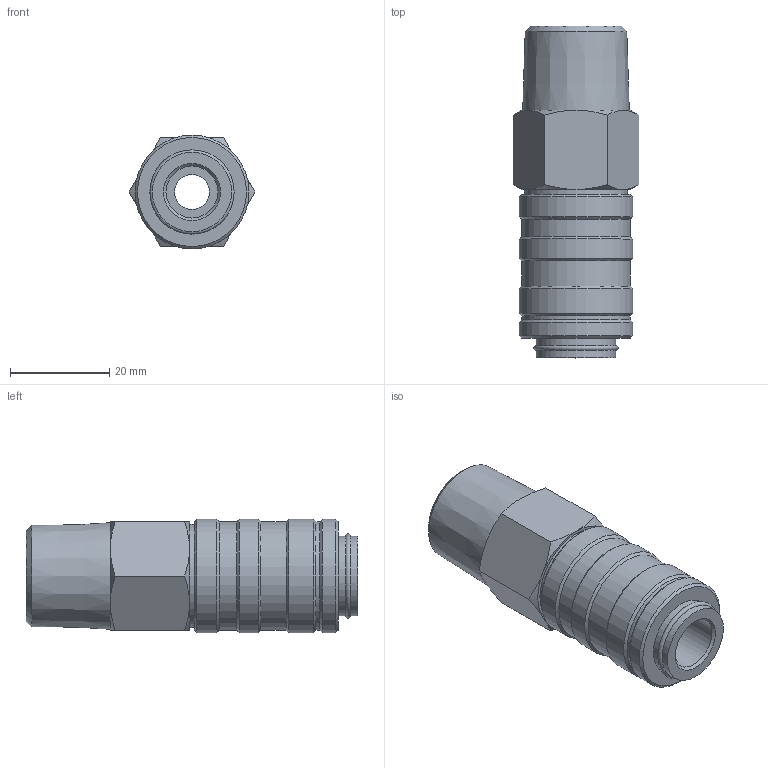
import cadquery as cq
import math

TOTAL_LENGTH = 67.0
THREAD_CHAMFER = 1.1
GAUGE_LENGTH = 8.16
HEX_START = 17.0
HEX_LENGTH = 16.0
HEX_END = HEX_START + HEX_LENGTH
SLEEVE_START = 34.0
SLEEVE_END = 63.0
BEAD_STATION = 65.0

GAUGE_RADIUS = 20.955 / 2
TAPER_PER_LENGTH = 1 / 32

ACROSS_FLATS = 22.0
HEX_CHAMFER_ANGLE = 30.0

BAND_RADIUS = 11.5
GROOVE_RADIUS = 11.0
BAND_CHAMFER = BAND_RADIUS - GROOVE_RADIUS
NECK_RADIUS = 10.4
BANDS = [
    (SLEEVE_START, 39.0),
    (42.5, 47.4),
    (52.5, 58.5),
    (59.3, SLEEVE_END),
]

NOSE_RADIUS = 8.0
BEAD_SECTION_RADIUS = 0.5

THROUGH_DIAMETER = 7.0
SOCKET_DIAMETER = 10.5
SOCKET_DEPTH = 25.0
MOUTH_CHAMFER = 0.5


def revolve_profile(points):
    """Revolve (radius, station) points about Y; the rear end lies at the greatest Y."""
    outline = [(radius, TOTAL_LENGTH - station) for radius, station in points]
    return cq.Workplane("XY").polyline(outline).close().revolve(360, (0, 0), (0, 1))


def thread_radius(station):
    return GAUGE_RADIUS + TAPER_PER_LENGTH * (station - GAUGE_LENGTH)


def make_thread():
    chamfered_radius = thread_radius(THREAD_CHAMFER)
    return revolve_profile([
        (0, 0),
        (chamfered_radius - THREAD_CHAMFER, 0),
        (chamfered_radius, THREAD_CHAMFER),
        (thread_radius(HEX_START), HEX_START),
        (0, HEX_START),
    ])


def make_hexagon():
    flat_radius = ACROSS_FLATS / 2
    corner_radius = flat_radius / math.cos(math.pi / 6)
    chamfer_length = (corner_radius - flat_radius) * math.tan(math.radians(HEX_CHAMFER_ANGLE))
    prism = (
        cq.Workplane("XZ", origin=(0, TOTAL_LENGTH - HEX_START, 0))
        .polygon(6, 2 * corner_radius)
        .extrude(HEX_LENGTH)
    )
    envelope = revolve_profile([
        (0, HEX_START),
        (flat_radius, HEX_START),
        (corner_radius, HEX_START + chamfer_length),
        (corner_radius, HEX_END - chamfer_length),
        (flat_radius, HEX_END),
        (0, HEX_END),
    ])
    return prism.intersect(envelope)


def make_sleeve():
    points = [(0, HEX_END), (NECK_RADIUS, HEX_END), (NECK_RADIUS, SLEEVE_START)]
    for start, end in BANDS:
        points += [
            (GROOVE_RADIUS, start),
            (BAND_RADIUS, start + BAND_CHAMFER),
            (BAND_RADIUS, end - BAND_CHAMFER),
            (GROOVE_RADIUS, end),
        ]
    points.append((0, SLEEVE_END))
    return revolve_profile(points)


def make_nose():
    nose = revolve_profile([
        (0, SLEEVE_END),
        (NOSE_RADIUS, SLEEVE_END),
        (NOSE_RADIUS, TOTAL_LENGTH),
        (0, TOTAL_LENGTH),
    ])
    bead_y = TOTAL_LENGTH - BEAD_STATION
    bead = (
        cq.Workplane("XY")
        .moveTo(NOSE_RADIUS, bead_y - BEAD_SECTION_RADIUS)
        .threePointArc(
            (NOSE_RADIUS + BEAD_SECTION_RADIUS, bead_y),
            (NOSE_RADIUS, bead_y + BEAD_SECTION_RADIUS),
        )
        .close()
        .revolve(360, (0, 0), (0, 1))
    )
    return nose.union(bead)


def make_bore():
    through_radius = THROUGH_DIAMETER / 2
    socket_radius = SOCKET_DIAMETER / 2
    socket_bottom = TOTAL_LENGTH - SOCKET_DEPTH
    return revolve_profile([
        (0, 0),
        (through_radius, 0),
        (through_radius, socket_bottom),
        (socket_radius, socket_bottom),
        (socket_radius, TOTAL_LENGTH - MOUTH_CHAMFER),
        (socket_radius + MOUTH_CHAMFER, TOTAL_LENGTH),
        (0, TOTAL_LENGTH),
    ])


body = make_thread().union(make_hexagon()).union(make_sleeve()).union(make_nose())
result = body.cut(make_bore())